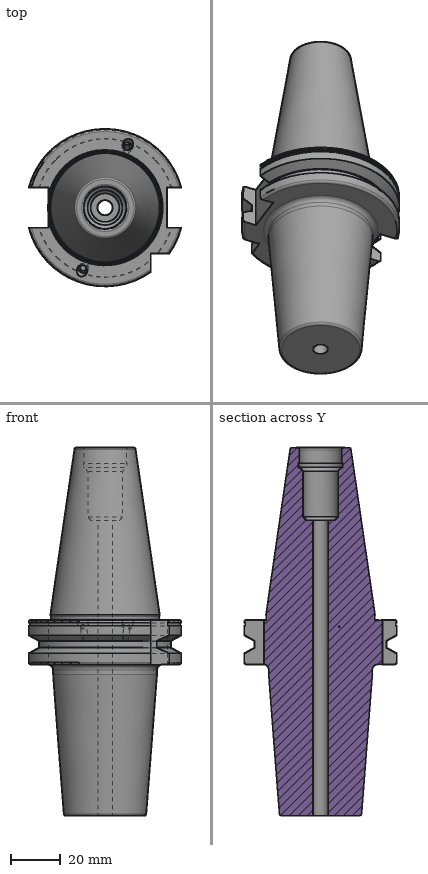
import cadquery as cq
import math

taper_top_z = 68.4
gauge_radius = 44.45 / 2
taper_slope = 7 / 48
taper_end_z = 1.0
taper_top_fillet = 0.8

relief_radius = 21.9
relief_top_z = 0.4
shoulder_fillet = 0.8
shoulder_floor_z = -1.3
shoulder_outer_radius = 23.3

flange_radius = 63.55 / 2
flange_top_z = -1.0
flange_bottom_z = -19.1
flange_edge_fillet = 1.0
score_top_z = -2.3
score_bottom_z = -3.4
score_depth = 0.4

groove_center_z = -10.9
groove_floor_radius = 27.8
groove_mouth_width = 7.3
groove_fillet = 0.3
groove_half_angle = math.radians(30)

nose_bottom_z = -80.0
nose_tip_radius = 16.6
nose_root_radius = 21.0
nose_cone_top_z = -23.0
nose_tip_fillet = 1.0
neck_fillet = 2.0

bore_radius = 8.5
bore_mouth_fillet = 1.0
bore_relief_radius = 8.8
bore_relief_depth = 6.3
bore_depth = 8.0
thread_radius = 7.0
thread_depth = 28.0
thread_floor_radius = 5.75
through_radius = 3.0

keyway_width = 16.1
left_keyway_floor = 22.8
right_keyway_floor = 25.0
notch_offset = 18.5

coolant_circle_radius = 27.1
coolant_mouth_radius = 2.1
coolant_mouth_depth = 3.0
coolant_bore_radius = 1.25
coolant_bore_depth = 5.0
coolant_tilt = 25
coolant_angles = (70, 250)

cutter_overrun = 1.0
edge_tolerance = 1e-4


def taper_radius(z):
    return gauge_radius - taper_slope * z


def round_edge(body, radius, z, fillet):
    """Fillet the circular edge of the given radius at height z."""
    edge = body.edges("%CIRCLE").filter(
        lambda e: abs(e.radius() - radius) < edge_tolerance and abs(e.Center().z - z) < edge_tolerance
    )
    return edge.fillet(fillet)


def turned_body():
    """Taper, grooved flange and conical nose as one revolved outline with rounded edges."""
    groove_half_mouth = groove_mouth_width / 2
    groove_wall_height = (flange_radius - groove_floor_radius) * math.tan(groove_half_angle)
    groove_half_floor = groove_half_mouth - groove_wall_height
    groove_floor_top_z = groove_center_z + groove_half_floor
    groove_floor_bottom_z = groove_center_z - groove_half_floor
    taper_top_radius = taper_radius(taper_top_z)
    score_radius = flange_radius - score_depth
    body = (
        cq.Workplane("XZ")
        .moveTo(0, taper_top_z)
        .lineTo(taper_top_radius, taper_top_z)
        .lineTo(taper_radius(taper_end_z), taper_end_z)
        .lineTo(relief_radius, relief_top_z)
        .lineTo(relief_radius, shoulder_floor_z + shoulder_fillet)
        .radiusArc((relief_radius + shoulder_fillet, shoulder_floor_z), -shoulder_fillet)
        .lineTo(shoulder_outer_radius, flange_top_z)
        .lineTo(flange_radius, flange_top_z)
        .lineTo(flange_radius, score_top_z)
        .lineTo(score_radius, score_top_z)
        .lineTo(score_radius, score_bottom_z)
        .lineTo(flange_radius, score_bottom_z)
        .lineTo(flange_radius, groove_center_z + groove_half_mouth)
        .lineTo(groove_floor_radius, groove_floor_top_z)
        .lineTo(groove_floor_radius, groove_floor_bottom_z)
        .lineTo(flange_radius, groove_center_z - groove_half_mouth)
        .lineTo(flange_radius, flange_bottom_z)
        .lineTo(nose_root_radius, flange_bottom_z)
        .lineTo(nose_root_radius, nose_cone_top_z)
        .lineTo(nose_tip_radius, nose_bottom_z)
        .lineTo(0, nose_bottom_z)
        .close()
        .revolve(360, (0, 0, 0), (0, 1, 0))
    )
    rounded_edges = (
        (taper_top_radius, taper_top_z, taper_top_fillet),
        (flange_radius, flange_top_z, flange_edge_fillet),
        (groove_floor_radius, groove_floor_top_z, groove_fillet),
        (groove_floor_radius, groove_floor_bottom_z, groove_fillet),
        (flange_radius, flange_bottom_z, flange_edge_fillet),
        (nose_root_radius, flange_bottom_z, neck_fillet),
        (nose_tip_radius, nose_bottom_z, nose_tip_fillet),
    )
    for radius, z, fillet in rounded_edges:
        body = round_edge(body, radius, z, fillet)
    return body


def drawbar_bore():
    """Relieved and stepped bore from the small end of the taper, with a through hole at its floor."""
    relief_z = taper_top_z - bore_relief_depth
    bore_floor_z = taper_top_z - bore_depth
    thread_end_z = taper_top_z - thread_depth
    thread_floor_z = thread_end_z - (thread_radius - thread_floor_radius)
    return (
        cq.Workplane("XZ")
        .moveTo(0, taper_top_z)
        .lineTo(bore_radius + bore_mouth_fillet, taper_top_z)
        .radiusArc((bore_radius, taper_top_z - bore_mouth_fillet), -bore_mouth_fillet)
        .lineTo(bore_radius, relief_z)
        .lineTo(bore_relief_radius, relief_z)
        .lineTo(bore_relief_radius, bore_floor_z)
        .lineTo(bore_radius, bore_floor_z)
        .lineTo(thread_radius, bore_floor_z - (bore_radius - thread_radius))
        .lineTo(thread_radius, thread_end_z)
        .lineTo(thread_floor_radius, thread_floor_z)
        .lineTo(through_radius, thread_floor_z)
        .lineTo(through_radius, nose_bottom_z)
        .lineTo(0, nose_bottom_z)
        .close()
        .revolve(360, (0, 0, 0), (0, 1, 0))
    )


def flange_block(x_min, x_max, y_min, y_max):
    """Rectangular cutter as tall as the flange."""
    height = flange_top_z - flange_bottom_z
    block = cq.Workplane("XY").box(x_max - x_min, y_max - y_min, height, centered=False)
    return block.translate((x_min, y_min, flange_bottom_z))


def flange_cutouts():
    """Two drive keyways on the X axis and the square orientation notch."""
    reach = flange_radius + cutter_overrun
    half_key = keyway_width / 2
    left_keyway = flange_block(-reach, -left_keyway_floor, -half_key, half_key)
    right_keyway = flange_block(right_keyway_floor, reach, -half_key, half_key)
    notch = flange_block(notch_offset, reach, -reach, -notch_offset)
    return left_keyway.union(right_keyway).union(notch)


def coolant_hole(angle):
    """Stepped blind hole in the upper flange face, leaning inward towards the axis as it goes down."""
    depth = coolant_mouth_depth + coolant_bore_depth
    mouth_height = coolant_mouth_depth + cutter_overrun
    cutter = (
        cq.Workplane("XY")
        .circle(coolant_bore_radius)
        .extrude(-depth)
        .union(
            cq.Workplane("XY", origin=(0, 0, cutter_overrun))
            .circle(coolant_mouth_radius)
            .extrude(-mouth_height)
        )
    )
    return (
        cutter.rotate((0, 0, 0), (0, 1, 0), coolant_tilt)
        .translate((coolant_circle_radius, 0, flange_top_z))
        .rotate((0, 0, 0), (0, 0, 1), angle)
    )


result = turned_body().cut(drawbar_bore()).cut(flange_cutouts())
for hole_angle in coolant_angles:
    result = result.cut(coolant_hole(hole_angle))